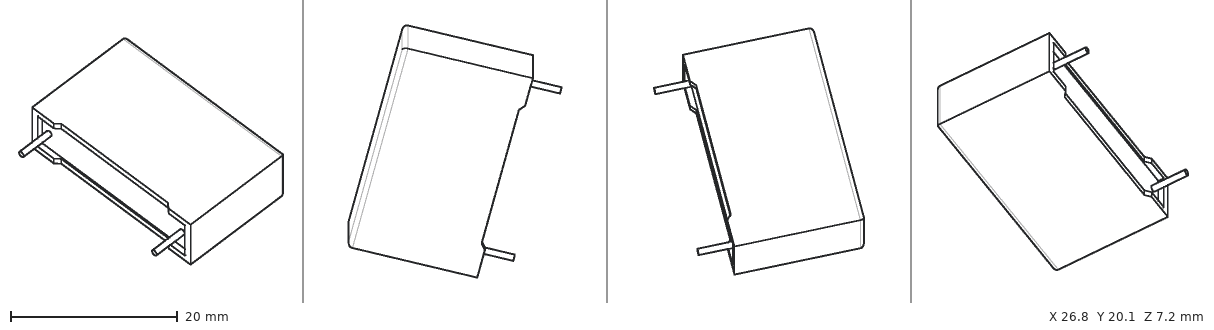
import cadquery as cq

LENGTH = 26.8
HEIGHT = 7.2
TOTAL_DEPTH = 20.1
PIN_REACH = 4.0
CASE_DEPTH = TOTAL_DEPTH - PIN_REACH
BACK_RADIUS = 0.6

END_WALL = 0.95
SIDE_WALL = 0.88
FILL_RECESS = 0.78

RELIEF_DEPTH = 0.6
RELIEF_MOUTH = LENGTH - 2 * 3.7
RELIEF_FLOOR = LENGTH - 2 * 4.4

PIN_DIAMETER = 0.8
PIN_PITCH = 22.49

CAVITY_LENGTH = LENGTH - 2 * END_WALL
CAVITY_HEIGHT = HEIGHT - 2 * SIDE_WALL
CAVITY_DEPTH = CASE_DEPTH - END_WALL


def block(length, height, y_start, y_end):
    """Box centred on X and Z that spans y_start to y_end."""
    return (
        cq.Workplane("XY")
        .box(length, y_end - y_start, height, centered=(True, False, True))
        .translate((0, y_start, 0))
    )


def rim_relief():
    """Trapezoid cutter that lowers the middle of both long rim walls."""
    return (
        cq.Workplane("XY")
        .moveTo(-RELIEF_MOUTH / 2, 0)
        .lineTo(-RELIEF_FLOOR / 2, RELIEF_DEPTH)
        .lineTo(RELIEF_FLOOR / 2, RELIEF_DEPTH)
        .lineTo(RELIEF_MOUTH / 2, 0)
        .close()
        .extrude(HEIGHT / 2, both=True)
    )


def make_case():
    """Box open toward -Y, with a rounded back and a relieved rim."""
    shell = block(LENGTH, HEIGHT, 0, CASE_DEPTH).faces(">Y").edges().fillet(BACK_RADIUS)
    cavity = block(CAVITY_LENGTH, CAVITY_HEIGHT, 0, CAVITY_DEPTH)
    return shell.cut(cavity).cut(rim_relief())


def make_filling():
    """Solid filling of the cavity, set back from the rim."""
    return block(CAVITY_LENGTH, CAVITY_HEIGHT, FILL_RECESS, CAVITY_DEPTH)


def make_pin(x):
    """Round pin standing on the filling surface and pointing toward -Y."""
    return (
        cq.Workplane("XZ", origin=(x, FILL_RECESS, 0))
        .circle(PIN_DIAMETER / 2)
        .extrude(FILL_RECESS + PIN_REACH)
    )


case = make_case()
filling = make_filling()
pins = [make_pin(side * PIN_PITCH / 2) for side in (-1, 1)]

result = cq.Compound.makeCompound([case.val(), filling.val(), *[pin.val() for pin in pins]])